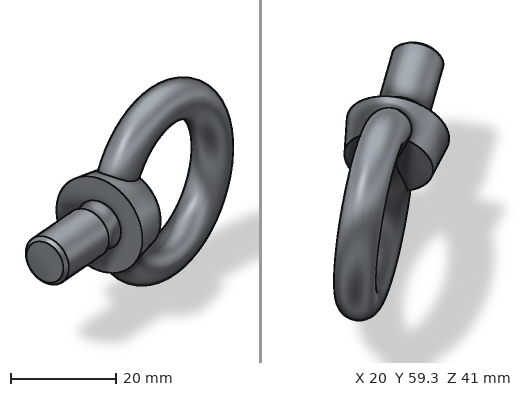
import cadquery as cq

ring_outer_diameter = 41.0
ring_tube_diameter = 8.0

collar_wide_diameter = 20.0
collar_narrow_diameter = 17.3
collar_length = 8.0

overall_length = 59.25
stud_diameter = 10.1
stud_length = 14.0
stud_chamfer = 0.75
neck_diameter = 9.0
neck_length = 3.95

ring_outer_radius = ring_outer_diameter / 2
tube_radius = ring_tube_diameter / 2
tip = overall_length - ring_outer_radius
stud_start = tip - stud_length
collar_front = stud_start - neck_length
collar_back = collar_front - collar_length


def make_ring():
    """Build the lifting ring with its axis along X."""
    centre_radius = ring_outer_radius - tube_radius
    return cq.Workplane("XY").add(
        cq.Solid.makeTorus(centre_radius, tube_radius, cq.Vector(0, 0, 0), cq.Vector(1, 0, 0))
    )


def make_collar_and_stud():
    """Revolve the half outline of collar, neck and stud about the Y axis."""
    stud_radius = stud_diameter / 2
    neck_radius = neck_diameter / 2
    neck_middle = collar_front + neck_length / 2
    outline = (
        cq.Workplane("XY")
        .moveTo(0, -collar_back)
        .lineTo(collar_narrow_diameter / 2, -collar_back)
        .lineTo(collar_wide_diameter / 2, -collar_front)
        .lineTo(stud_radius, -collar_front)
        .threePointArc((neck_radius, -neck_middle), (stud_radius, -stud_start))
        .lineTo(stud_radius, -(tip - stud_chamfer))
        .lineTo(stud_radius - stud_chamfer, -tip)
        .lineTo(0, -tip)
        .close()
    )
    return outline.revolve(360, (0, 0, 0), (0, 1, 0))


result = make_collar_and_stud().union(make_ring())